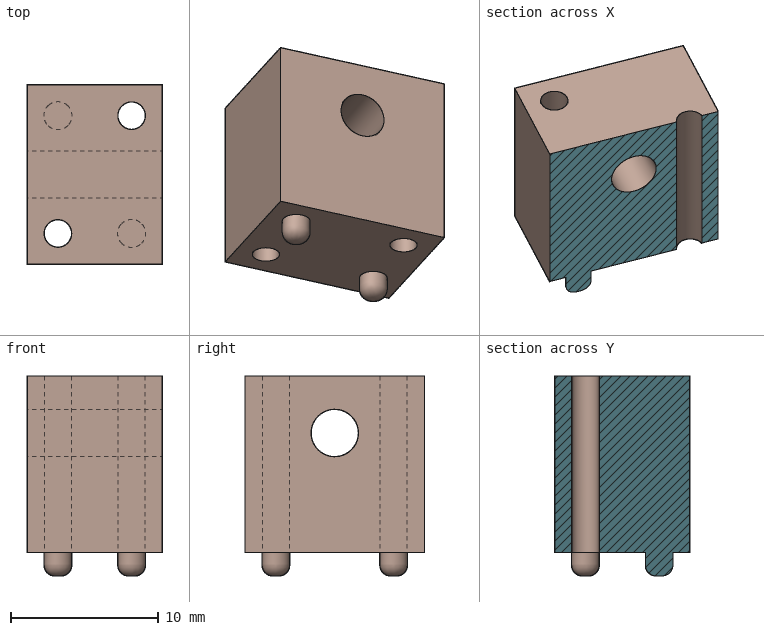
import cadquery as cq

width = 9.2
depth = 12.2
total_height = 13.6
pin_length = 1.6
block_height = total_height - pin_length

spacing_x = 5.0
spacing_y = 8.0
pin_diameter = 1.9
pin_tip_radius = 0.76
hole_diameter = 1.85

cross_hole_diameter = 3.2
cross_hole_height = 8.12

half_x = spacing_x / 2
half_y = spacing_y / 2
hole_centers = [(half_x, half_y), (-half_x, -half_y)]
pin_centers = [(-half_x, half_y), (half_x, -half_y)]


def make_block():
    """Plain block standing on the XY plane."""
    return cq.Workplane("XY").box(width, depth, block_height, centered=(True, True, False))


def make_vertical_holes():
    """Cutters for the two holes through the full block height."""
    return cq.Workplane("XY").pushPoints(hole_centers).circle(hole_diameter / 2).extrude(block_height)


def make_cross_hole():
    """Cutter for the hole through the full block width."""
    return (
        cq.Workplane("YZ")
        .center(0, cross_hole_height)
        .circle(cross_hole_diameter / 2)
        .extrude(width / 2, both=True)
    )


def make_pins():
    """Round-tipped locating pins below the block."""
    return (
        cq.Workplane("XY")
        .pushPoints(pin_centers)
        .circle(pin_diameter / 2)
        .extrude(-pin_length)
        .faces("<Z")
        .edges()
        .fillet(pin_tip_radius)
    )


result = make_block().cut(make_vertical_holes()).cut(make_cross_hole()).union(make_pins())